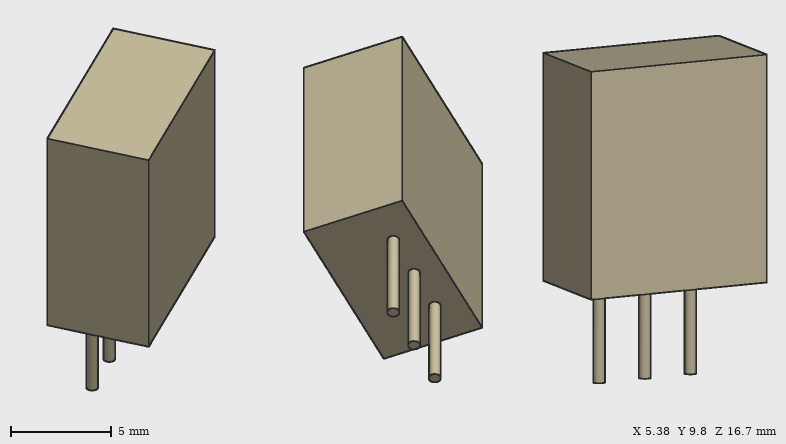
import cadquery as cq

case_width = 5.38
case_length = 9.8
total_height = 16.7
pin_length = 5.1
case_height = total_height - pin_length

pin_diameter = 0.6
pin_count = 3
pin_pitch = 2.54
pin_row_inset = 1.54


def make_case():
    """Block whose -X face lies one inset away from the pin row at X = 0."""
    return (
        cq.Workplane("XY")
        .box(case_width, case_length, case_height, centered=(False, True, False))
        .translate((-pin_row_inset, 0, 0))
    )


def make_pin(y):
    """Round pin hanging from the underside of the case."""
    return (
        cq.Workplane("XY")
        .center(0, y)
        .circle(pin_diameter / 2)
        .extrude(-pin_length)
    )


case = make_case()

first_pin_y = -pin_pitch * (pin_count - 1) / 2
pins = [make_pin(first_pin_y + i * pin_pitch) for i in range(pin_count)]

result = cq.Compound.makeCompound([case.val(), *[pin.val() for pin in pins]])